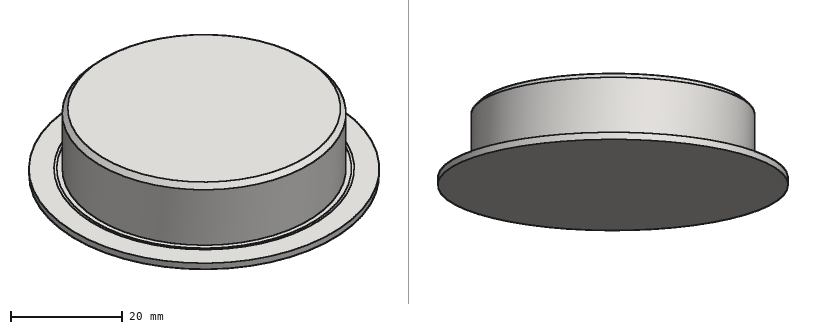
import cadquery as cq

flange_diameter = 63.0
flange_thickness = 1.3

total_height = 14.2
boss_diameter = 51.0
boss_chamfer = 1.0

ring_outer_diameter = 54.0
ring_inner_diameter = 53.0
ring_depth = (ring_outer_diameter - ring_inner_diameter) / 2


def make_ring():
    """Ring set into the flange around the boss; its shape is also that of its groove."""
    return (
        cq.Workplane("XY")
        .workplane(offset=flange_thickness - ring_depth)
        .circle(ring_outer_diameter / 2)
        .circle(ring_inner_diameter / 2)
        .extrude(ring_depth)
    )


def make_cap():
    """Flange and chamfered boss in one piece, with the ring groove cut out."""
    flange = cq.Workplane("XY").circle(flange_diameter / 2).extrude(flange_thickness)
    boss = (
        cq.Workplane("XY")
        .circle(boss_diameter / 2)
        .extrude(total_height)
        .faces(">Z")
        .chamfer(boss_chamfer)
    )
    return flange.union(boss).cut(make_ring())


cap = make_cap()
ring = make_ring()

result = cq.Compound.makeCompound([cap.val(), ring.val()])